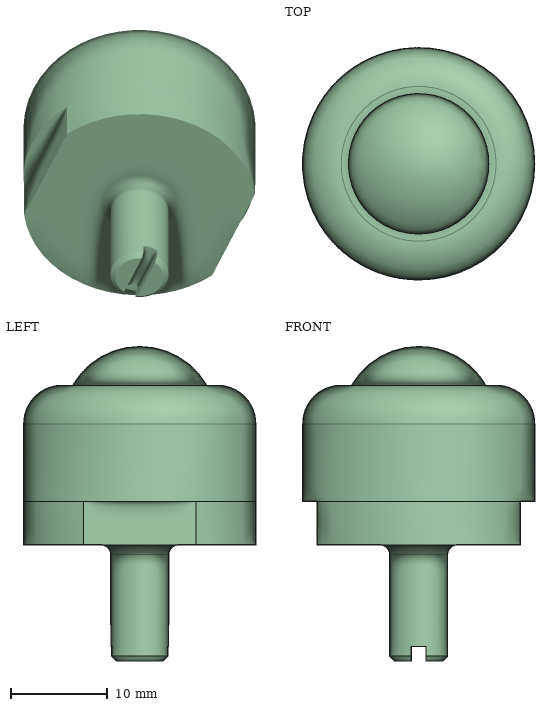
import cadquery as cq
import math


body_diameter = 24.0
body_radius = body_diameter / 2
base_height = 4.5
across_flats = 21.0
stud_diameter = 6.0
stud_radius = stud_diameter / 2
stud_length = 12.0
stud_root_radius = 1.0
stud_chamfer = 0.5
slot_width = 1.5
slot_depth = 1.5

cap_height = 12.0
cap_edge_radius = 4.0
opening_radius = 7.25
cap_top = base_height + cap_height

ball_radius = 8.0
ball_center_z = base_height + ball_radius


def make_base():
    """Round base with two flats and a plain stud slotted at its end."""
    disc = cq.Workplane("XY").circle(body_radius).extrude(base_height)
    flats = cq.Workplane("XY").rect(across_flats, body_diameter).extrude(base_height)
    return disc.intersect(flats).union(make_stud()).cut(make_driver_slot())


def make_stud():
    """Stud with a concave root fillet under the base and a chamfered end."""
    root_offset = stud_root_radius * (1 - math.sqrt(0.5))
    profile = (
        cq.Workplane("XZ")
        .lineTo(stud_radius + stud_root_radius, 0)
        .threePointArc(
            (stud_radius + root_offset, -root_offset),
            (stud_radius, -stud_root_radius),
        )
        .lineTo(stud_radius, stud_chamfer - stud_length)
        .lineTo(stud_radius - stud_chamfer, -stud_length)
        .lineTo(0, -stud_length)
        .close()
    )
    return profile.revolve(360, (0, 0, 0), (0, 1, 0))


def make_driver_slot():
    """Screwdriver slot along Y across the end of the stud."""
    return (
        cq.Workplane("XY")
        .workplane(offset=-stud_length)
        .rect(slot_width, stud_diameter)
        .extrude(slot_depth)
    )


def make_ball():
    """Ball centred on the axis."""
    return cq.Workplane("XY").sphere(ball_radius).translate((0, 0, ball_center_z))


def make_cap():
    """Domed cap with a spherical seat, a bore below it and a round opening above."""
    shell = (
        cq.Workplane("XY")
        .workplane(offset=base_height)
        .circle(body_radius)
        .extrude(cap_height)
        .faces(">Z")
        .edges()
        .fillet(cap_edge_radius)
    )
    opening_start = ball_center_z + math.sqrt(ball_radius**2 - opening_radius**2)
    seat_angle = math.asin(opening_radius / ball_radius)
    middle_angle = (seat_angle + math.pi / 2) / 2
    seat_middle = (
        ball_radius * math.sin(middle_angle),
        ball_center_z + ball_radius * math.cos(middle_angle),
    )
    cavity = (
        cq.Workplane("XZ")
        .moveTo(0, base_height)
        .lineTo(ball_radius, base_height)
        .lineTo(ball_radius, ball_center_z)
        .threePointArc(seat_middle, (opening_radius, opening_start))
        .lineTo(opening_radius, cap_top)
        .lineTo(0, cap_top)
        .close()
        .revolve(360, (0, 0, 0), (0, 1, 0))
    )
    return shell.cut(cavity)


base = make_base()
ball = make_ball()
cap = make_cap()

result = cq.Compound.makeCompound([base.solids().val(), ball.val(), cap.solids().val()])